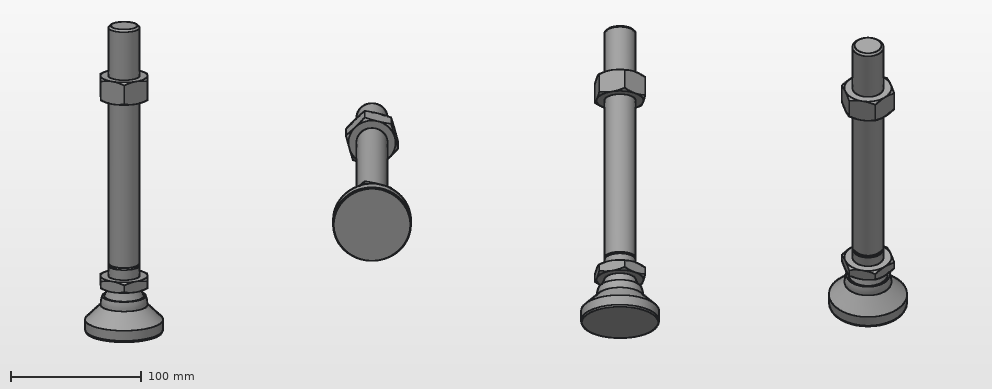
import cadquery as cq
import math

total_height = 245.0
rod_radius = 12.0
rod_end_chamfer = 1.7

across_flats = 36.0
hex_chamfer_angle = 30.0
spindle_hex_height = 8.5
nut_height = 18.1
nut_bottom = 186.7

foot_diameter = 60.0
foot_radius = foot_diameter / 2
foot_edge_width = 0.7
foot_edge_height = 1.5
rim_top = 9.5
collar_radius = 18.1
collar_bottom = 21.3
collar_top = 28.5

neck_bottom_radius = 15.2
spindle_hex_bottom = 36.0
groove_bottom = 52.7
groove_width = 1.5
groove_depth = 0.7


def collar_radius_at(height):
    """Radius of the spherical collar at a height above its widest circle."""
    return math.sqrt(collar_radius**2 - height**2)


def make_hexagon(bottom, height):
    """Hexagonal prism with flats facing X and conically chamfered corners."""
    flat_radius = across_flats / 2
    corner_radius = flat_radius / math.cos(math.radians(30))
    corner_drop = (corner_radius - flat_radius) * math.tan(math.radians(hex_chamfer_angle))
    top = bottom + height
    prism = (
        cq.Workplane("XY")
        .workplane(offset=bottom)
        .polygon(6, 2 * corner_radius)
        .extrude(height)
        .rotate((0, 0, 0), (0, 0, 1), 30)
    )
    chamfer_envelope = (
        cq.Workplane("XZ")
        .moveTo(0, bottom)
        .lineTo(flat_radius, bottom)
        .lineTo(corner_radius, bottom + corner_drop)
        .lineTo(corner_radius, top - corner_drop)
        .lineTo(flat_radius, top)
        .lineTo(0, top)
        .close()
        .revolve(360, (0, 0, 0), (0, 1, 0))
    )
    return prism.intersect(chamfer_envelope)


def make_foot():
    """Round foot: chamfered rim, conical shoulder and spherical collar."""
    collar_height = collar_top - collar_bottom
    return (
        cq.Workplane("XZ")
        .lineTo(foot_radius - foot_edge_width, 0)
        .lineTo(foot_radius, foot_edge_height)
        .lineTo(foot_radius, rim_top)
        .lineTo(collar_radius, collar_bottom)
        .threePointArc(
            (collar_radius_at(collar_height / 2), collar_bottom + collar_height / 2),
            (collar_radius_at(collar_height), collar_top),
        )
        .lineTo(0, collar_top)
        .close()
        .revolve(360, (0, 0, 0), (0, 1, 0))
    )


def make_spindle():
    """Conical neck standing on the foot, hexagon, and grooved rod."""
    groove_floor_radius = rod_radius - groove_depth
    shaft = (
        cq.Workplane("XZ")
        .moveTo(0, collar_top)
        .lineTo(neck_bottom_radius, collar_top)
        .lineTo(rod_radius, spindle_hex_bottom)
        .lineTo(rod_radius, groove_bottom)
        .lineTo(groove_floor_radius, groove_bottom + groove_width)
        .lineTo(rod_radius, groove_bottom + groove_width)
        .lineTo(rod_radius, total_height - rod_end_chamfer)
        .lineTo(rod_radius - rod_end_chamfer, total_height)
        .lineTo(0, total_height)
        .close()
        .revolve(360, (0, 0, 0), (0, 1, 0))
    )
    return shaft.union(make_hexagon(spindle_hex_bottom, spindle_hex_height))


def make_nut():
    """Hexagon nut whose bore fits the rod."""
    bore = cq.Workplane("XY").workplane(offset=nut_bottom).circle(rod_radius).extrude(nut_height)
    return make_hexagon(nut_bottom, nut_height).cut(bore)


foot = make_foot()
spindle = make_spindle()
nut = make_nut()

result = cq.Compound.makeCompound([foot.val(), spindle.val(), nut.val()])